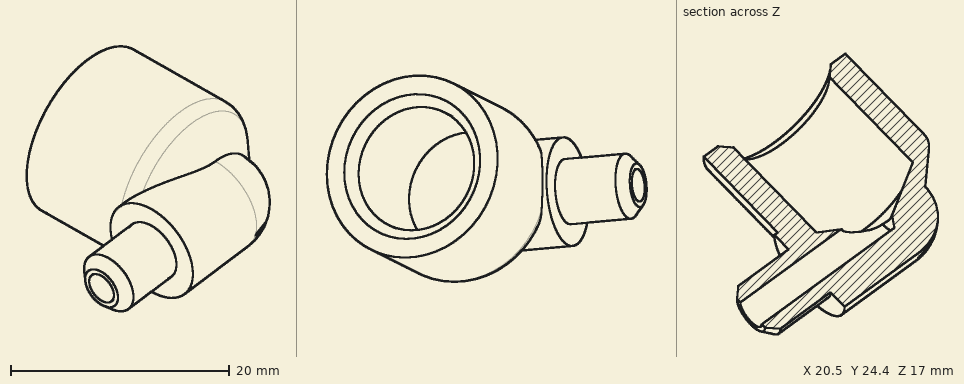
import cadquery as cq
import math

barrel_d = 17.0
barrel_r = barrel_d / 2
shoulder_round = 2.0
taper_angle = 45

leg_d = 10.0
leg_r = leg_d / 2
overall_x = 20.5
elbow_x = overall_x - leg_r
taper_start_x = elbow_x - (barrel_r - leg_r) / math.tan(math.radians(taper_angle))

overall_y = 24.4
peg_d = 6.0
peg_length = 7.0
peg_chamfer = 1.0
tip_y = barrel_r - overall_y
leg_end_y = tip_y + peg_length

socket_d = 11.5
socket_mouth_d = 13.5
mouth_chamfer = (socket_mouth_d - socket_d) / 2
socket_depth = 12.8
bore_d = 3.0
drill_half_angle = math.radians(59)


def drill_tip_length(diameter):
    return diameter / 2 / math.tan(drill_half_angle)


def rod_along_y(diameter, start_y, end_y):
    """Round rod centred on the leg axis."""
    sketch = cq.Workplane("XZ", origin=(elbow_x, end_y, 0)).circle(diameter / 2)
    return sketch.extrude(end_y - start_y)


def make_barrel():
    """Turned barrel with a rounded shoulder, tapering down to the elbow."""
    blend = shoulder_round * math.tan(math.radians(taper_angle / 2))
    arc_start_x = taper_start_x - blend
    arc_centre_r = barrel_r - shoulder_round

    def arc_point(degrees):
        angle = math.radians(degrees)
        return (
            arc_start_x + shoulder_round * math.sin(angle),
            arc_centre_r + shoulder_round * math.cos(angle),
        )

    profile = (
        cq.Workplane("XY")
        .lineTo(0, barrel_r)
        .lineTo(arc_start_x, barrel_r)
        .threePointArc(arc_point(taper_angle / 2), arc_point(taper_angle))
        .lineTo(elbow_x, leg_r)
        .lineTo(elbow_x, 0)
        .close()
    )
    return profile.revolve(360, (0, 0, 0), (1, 0, 0))


def make_elbow():
    """Ball-ended leg carrying the chamfered peg."""
    ball = cq.Workplane("XY", origin=(elbow_x, 0, 0)).sphere(leg_r)
    leg = rod_along_y(leg_d, leg_end_y, 0)
    peg = rod_along_y(peg_d, tip_y, leg_end_y).faces("<Y").chamfer(peg_chamfer)
    return ball.union(leg).union(peg)


def make_socket():
    """Flared socket cavity with a conical bottom."""
    profile = cq.Workplane("XY").polyline([
        (0, 0),
        (0, socket_mouth_d / 2),
        (mouth_chamfer, socket_d / 2),
        (socket_depth, socket_d / 2),
        (socket_depth + drill_tip_length(socket_d), 0),
    ])
    return profile.close().revolve(360, (0, 0, 0), (1, 0, 0))


def make_bore():
    """Bore from the peg tip, its conical end starting at the barrel axis."""
    profile = cq.Workplane("XY", origin=(elbow_x, 0, 0)).polyline([
        (0, tip_y),
        (bore_d / 2, tip_y),
        (bore_d / 2, 0),
        (0, drill_tip_length(bore_d)),
    ])
    return profile.close().revolve(360, (0, 0, 0), (0, 1, 0))


result = make_barrel().union(make_elbow()).cut(make_socket()).cut(make_bore())